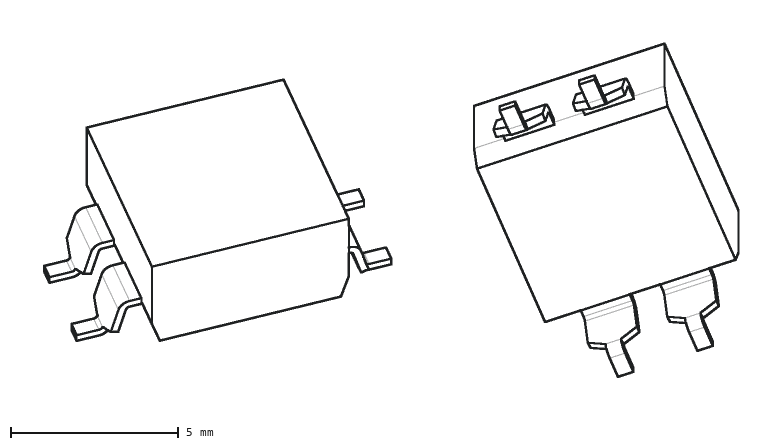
import cadquery as cq
import math

body_length_x = 6.08
body_width_y = 6.2
body_bottom_z = 0.81
taper_top_z = 1.6
body_top_z = 4.08
taper_inset = 0.25

tip_to_tip_y = 9.9
lead_pitch = 2.53
lead_thickness = 0.25
lead_width = 1.56
foot_width = 0.495
lead_top_z = 1.75
shoulder_flat = 0.37
lean = math.radians(15.5)
inner_radius = 0.12
neck_length = 0.29
lead_embed = 0.2

outer_radius = inner_radius + lead_thickness
body_side_y = body_width_y / 2
tip_y = tip_to_tip_y / 2

upper_y = body_side_y + shoulder_flat
upper_z = lead_top_z - outer_radius
lower_z = outer_radius
plate_length = (
    upper_z - lower_z + (outer_radius + inner_radius) * math.sin(lean)
) / math.cos(lean)
lower_y = (
    upper_y + (outer_radius + inner_radius) * math.cos(lean) + plate_length * math.sin(lean)
)


def on_circle(center_y, center_z, radius, angle):
    return (center_y + radius * math.cos(angle), center_z + radius * math.sin(angle))


def bent_strip(start_y, center_y, center_z, width, start_angle, end_angle):
    """Flat strip from start_y followed by a bend about the given centre."""
    mid_angle = (start_angle + end_angle) / 2
    side = math.sin(start_angle)
    return (
        cq.Workplane("YZ")
        .moveTo(start_y, center_z + side * outer_radius)
        .lineTo(center_y, center_z + side * outer_radius)
        .threePointArc(
            on_circle(center_y, center_z, outer_radius, mid_angle),
            on_circle(center_y, center_z, outer_radius, end_angle),
        )
        .lineTo(*on_circle(center_y, center_z, inner_radius, end_angle))
        .threePointArc(
            on_circle(center_y, center_z, inner_radius, mid_angle),
            (center_y, center_z + side * inner_radius),
        )
        .lineTo(start_y, center_z + side * inner_radius)
        .close()
        .extrude(width / 2, both=True)
    )


def sloping_plate():
    """Plate between the bends, narrowing to the foot width at its lower end."""
    end_y, end_z = on_circle(lower_y, lower_z, inner_radius, math.pi + lean)
    plane = cq.Plane(
        origin=(0, end_y, end_z),
        xDir=(-1, 0, 0),
        normal=(0, math.cos(lean), math.sin(lean)),
    )
    return (
        cq.Workplane(plane)
        .polyline([
            (-foot_width / 2, 0),
            (foot_width / 2, 0),
            (lead_width / 2, neck_length),
            (lead_width / 2, plate_length),
            (-lead_width / 2, plate_length),
            (-lead_width / 2, neck_length),
        ])
        .close()
        .extrude(-lead_thickness)
    )


def lead():
    """One lead on the +Y side, centred on X = 0."""
    shoulder = bent_strip(
        body_side_y - lead_embed, upper_y, upper_z, lead_width, math.pi / 2, lean
    )
    foot = bent_strip(
        tip_y, lower_y, lower_z, foot_width, 1.5 * math.pi, math.pi + lean
    )
    return shoulder.union(sloping_plate()).union(foot)


def body():
    return (
        cq.Workplane("YZ")
        .polyline([
            (-body_side_y + taper_inset, body_bottom_z),
            (body_side_y - taper_inset, body_bottom_z),
            (body_side_y, taper_top_z),
            (body_side_y, body_top_z),
            (-body_side_y, body_top_z),
            (-body_side_y, taper_top_z),
        ])
        .close()
        .extrude(body_length_x / 2, both=True)
    )


result = body()
for lead_x in (-lead_pitch / 2, lead_pitch / 2):
    back_lead = lead().translate((lead_x, 0, 0))
    result = result.union(back_lead).union(back_lead.mirror("XZ"))